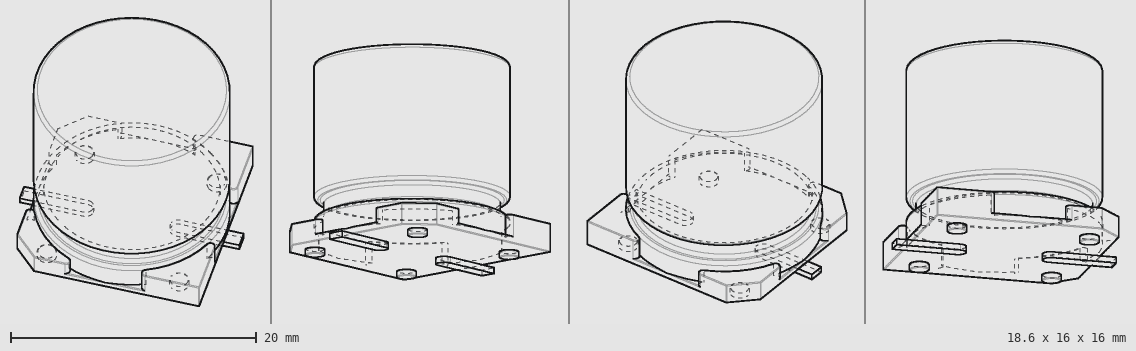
import cadquery as cq
import math

overall_length = 18.6
overall_height = 16.0
base_width = 16.0
half_width = base_width / 2
standoff = 0.5

can_radius = half_width
neck_radius = 14.4 / 2
can_round = 0.3
groove_bottom = 3.12
groove_top = 4.7

floor_top = 1.08
block_root = (standoff + floor_top) / 2
low_block_top = 2.29
tall_block_top = 2.88
corner_cut = 2.0
block_tip_start = 3.4
block_tip_radius = block_tip_start**2 / (4 * can_radius)
edge_round = 0.07

foot_diameter = 1.6
foot_offset = 5.6
foot_round = 0.07
lead_width = 1.32
lead_inner_end = 3.25

round_inset = 1 - math.sqrt(0.5)


def square_outline(bottom, top):
    """Square prism as wide as the base, with the two -X corners cut off and all upright edges rounded."""
    prism = cq.Workplane("XY").workplane(offset=bottom).rect(base_width, base_width).extrude(top - bottom)
    prism = prism.edges("|Z and <X").chamfer(corner_cut)
    return prism.edges("|Z").fillet(edge_round)


def corner_block(side_x, side_y, top):
    """Block that hugs the can, with two round tips touching the base sides and the can."""
    tip_far = half_width - block_tip_radius
    tip_end = block_tip_start - block_tip_radius
    touch_share = can_radius / (can_radius + block_tip_radius)
    touch_near = block_tip_start * touch_share
    touch_far = tip_far * touch_share
    can_middle = can_radius * math.sqrt(0.5)

    def corner(x, y):
        return (side_x * x, side_y * y)

    outline = (
        cq.Workplane("XY")
        .workplane(offset=block_root)
        .moveTo(*corner(block_tip_start, half_width))
        .threePointArc(corner(tip_end, tip_far), corner(touch_near, touch_far))
        .threePointArc(corner(can_middle, can_middle), corner(touch_far, touch_near))
        .threePointArc(corner(tip_far, tip_end), corner(half_width, block_tip_start))
        .lineTo(*corner(half_width, half_width))
        .close()
    )
    block = outline.extrude(top - block_root).intersect(square_outline(block_root, top))
    return block.faces(">Z").edges().fillet(edge_round)


def make_base():
    """Plate with rounded edges and four corner blocks; the blocks on the +X side are taller."""
    base = square_outline(standoff, floor_top).faces("<Z or >Z").edges().fillet(edge_round)
    for side_x, top in ((-1, low_block_top), (1, tall_block_top)):
        for side_y in (-1, 1):
            base = base.union(corner_block(side_x, side_y, top))
    return base


def make_can():
    """Can turned around Z, with a rounded top rim and a rounded groove above the base."""
    inset = can_round * round_inset
    rim_radius = can_radius - can_round
    throat_radius = neck_radius + can_round
    profile = (
        cq.Workplane("XZ")
        .moveTo(0, standoff)
        .lineTo(neck_radius, standoff)
        .lineTo(neck_radius, block_root)
        .lineTo(can_radius, block_root)
        .lineTo(can_radius, groove_bottom - can_round)
        .threePointArc((can_radius - inset, groove_bottom - inset), (rim_radius, groove_bottom))
        .lineTo(throat_radius, groove_bottom)
        .threePointArc((neck_radius + inset, groove_bottom + inset), (neck_radius, groove_bottom + can_round))
        .lineTo(neck_radius, groove_top - can_round)
        .threePointArc((neck_radius + inset, groove_top - inset), (throat_radius, groove_top))
        .lineTo(rim_radius, groove_top)
        .threePointArc((can_radius - inset, groove_top + inset), (can_radius, groove_top + can_round))
        .lineTo(can_radius, overall_height - can_round)
        .threePointArc((can_radius - inset, overall_height - inset), (rim_radius, overall_height))
        .lineTo(0, overall_height)
        .close()
    )
    return profile.revolve(360, (0, 0, 0), (0, 1, 0))


def make_foot(x, y):
    """Round foot under the base with both rims rounded."""
    foot = cq.Workplane("XY").center(x, y).circle(foot_diameter / 2).extrude(standoff)
    return foot.edges().fillet(foot_round)


def make_lead(side_x):
    """Flat lead along X with a round inner end."""
    round_centre = lead_inner_end + lead_width / 2
    return (
        cq.Workplane("XY")
        .moveTo(side_x * overall_length / 2, -lead_width / 2)
        .lineTo(side_x * round_centre, -lead_width / 2)
        .threePointArc((side_x * lead_inner_end, 0), (side_x * round_centre, lead_width / 2))
        .lineTo(side_x * overall_length / 2, lead_width / 2)
        .close()
        .extrude(standoff)
    )


result = make_base().union(make_can())
for side_x in (-1, 1):
    result = result.union(make_lead(side_x))
    for side_y in (-1, 1):
        result = result.union(make_foot(side_x * foot_offset, side_y * foot_offset))